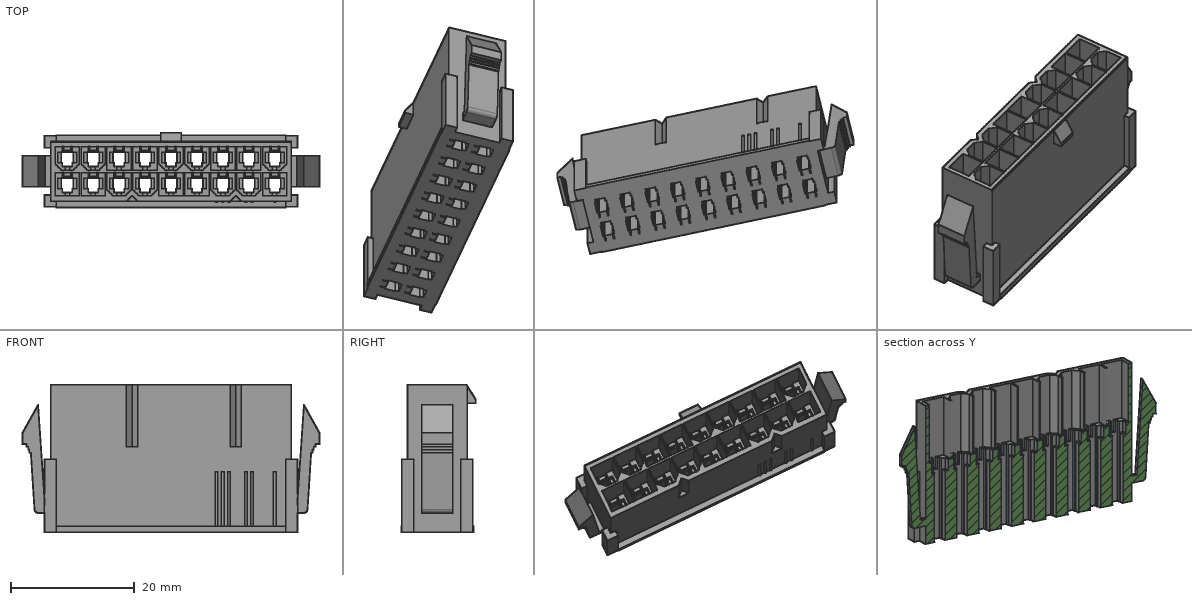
import cadquery as cq

body_length = 38.95
body_width = 9.7
body_height = 23.9
back_edge_chamfer = 0.15

post_offset_x = 1.0
post_offset_y = 0.9
post_leg_x = 1.9
post_leg_y = 1.95
post_height = 11.9
ledge_height = 1.0
ledge_overhang = 0.1
outer_length = body_length + 2 * post_offset_x
outer_width = body_width + 2 * post_offset_y

columns = 9
row_span = 33.55
pitch = row_span / (columns - 1)
cell_length = 3.95
cell_width = 3.8
cell_corner_cut = 1.0
cell_depth = 10.0
cell_floor = body_height - cell_depth
keyed_columns = {1: (0, 1, 4, 5, 8), -1: (2, 3, 6, 7)}

passage_wide = 1.9
passage_narrow = 1.6
passage_back = 1.0
passage_step = -0.7
passage_front = -1.3
side_pocket_span = 3.05
floor_pocket_depth = 1.9
front_notch_length = 0.7
tongue_length = 1.25
tongue_step = 1.3
tongue_drop = 0.95

groove_depth = 0.9
groove_positions = (-1.5, 2.5)

rib_width = 0.45
rib_rise = 0.15
rib_top = 9.8
rib_positions = (7.35, 8.35, 9.4, 12.1, 13.15, 16.8)

tab_length = 3.35
tab_reach = 1.4
tab_slope_drop = 2.4
tab_height = 3.05

latch_width = 5.05
latch_reach = 24.05
latch_tip = (21.5, 20.7)
latch_shoulder = 16.1
latch_steps = ((14.3, 23.42), (13.85, 23.15), (13.4, 22.95), (12.9, 22.7))
latch_foot = 22.1
latch_bottom = 3.15
latch_foot_radius = 0.65
latch_gap_floor = 4.43
latch_root = 20.4


def block(x_range, y_range, z_range):
    """Box spanning the given ranges."""
    (x0, x1), (y0, y1), (z0, z1) = x_range, y_range, z_range
    return cq.Workplane("XY").box(x1 - x0, y1 - y0, z1 - z0, centered=False).translate((x0, y0, z0))


def make_shell():
    """Body with an L-shaped post at each corner and a ledge along each long side."""
    shell = cq.Workplane("XY").box(body_length, body_width, body_height, centered=(True, True, False))
    shell = shell.edges(">Y and >Z").chamfer(back_edge_chamfer)
    post_x = (outer_length / 2 - post_leg_x, outer_length / 2)
    post_y = (outer_width / 2 - post_leg_y, outer_width / 2)
    post = block(post_x, post_y, (0, post_height))
    for mirrored in (post, post.mirror("YZ"), post.mirror("XZ"), post.mirror("YZ").mirror("XZ")):
        shell = shell.union(mirrored)
    ledge_length = outer_length - 2 * post_leg_x
    ledge_width = outer_width + 2 * ledge_overhang
    ledge = cq.Workplane("XY").box(ledge_length, ledge_width, ledge_height, centered=(True, True, False))
    return shell.union(ledge)


def make_cell(keyed):
    """Cutter for one cell, centred on X and Y."""
    cell = (
        cq.Workplane("XY", origin=(0, 0, cell_floor))
        .box(cell_length, cell_width, cell_depth, centered=(True, True, False))
    )
    if keyed:
        cell = cell.edges("|Z and <Y").chamfer(cell_corner_cut)

    through = (0, cell_floor)
    pocket = (cell_floor - floor_pocket_depth, cell_floor)
    wide = passage_wide / 2
    narrow = passage_narrow / 2
    pocket_end = side_pocket_span / 2
    notch = front_notch_length / 2
    tongue = tongue_length / 2
    wall = cell_width / 2
    tongue_top = cell_floor - tongue_drop

    cell = cell.union(block((-wide, wide), (passage_step, passage_back), through))
    cell = cell.union(block((-narrow, narrow), (passage_front, wall), through))
    cell = cell.union(block((-pocket_end, pocket_end), (passage_step, passage_back), pocket))
    cell = cell.union(block((-notch, notch), (-wall, passage_front), pocket))
    cell = cell.cut(block((-tongue, tongue), (tongue_step, wall), (0, tongue_top)))
    return cell.cut(block((-tongue, tongue), (passage_back, tongue_step), (0, tongue_top - tongue_drop)))


def cut_cells(housing):
    plain_cell = make_cell(False)
    keyed_cell = make_cell(True)
    for side, keyed in keyed_columns.items():
        for column in range(columns):
            cell = keyed_cell if column in keyed else plain_cell
            x = column * pitch - row_span / 2
            housing = housing.cut(cell.translate((x, side * pitch / 2, 0)))
    return housing


def cut_grooves(housing):
    """V-grooves with 45 degree flanks, as deep as the cells."""
    front = -body_width / 2
    for position in groove_positions:
        x = position * pitch
        groove = (
            cq.Workplane("XY", origin=(0, 0, cell_floor))
            .moveTo(x - groove_depth, front)
            .lineTo(x, front + groove_depth)
            .lineTo(x + groove_depth, front)
            .close()
            .extrude(cell_depth)
        )
        housing = housing.cut(groove)
    return housing


def add_ribs(housing):
    front = -body_width / 2
    for x in rib_positions:
        rib = (
            cq.Workplane("XY")
            .moveTo(x - rib_width / 2, front)
            .threePointArc((x, front - rib_rise), (x + rib_width / 2, front))
            .close()
            .extrude(rib_top)
        )
        housing = housing.union(rib)
    return housing


def make_tab():
    back = body_width / 2
    return (
        cq.Workplane("YZ", origin=(-tab_length / 2, 0, 0))
        .moveTo(back - back_edge_chamfer, body_height)
        .lineTo(back + tab_reach, body_height - tab_slope_drop)
        .lineTo(back + tab_reach, body_height - tab_height)
        .lineTo(back - back_edge_chamfer, body_height - tab_height)
        .close()
        .extrude(tab_length)
    )


def make_latch():
    """Barbed arm on the +X end, joined to the body only at its foot."""
    profile = cq.Workplane("XZ", origin=(0, latch_width / 2, 0)).moveTo(*latch_tip)
    profile = profile.lineTo(latch_reach, latch_shoulder)
    x = latch_reach
    for step_z, step_x in latch_steps:
        profile = profile.lineTo(x, step_z).lineTo(step_x, step_z)
        x = step_x
    latch = (
        profile.lineTo(latch_foot, latch_bottom)
        .lineTo(body_length / 2, latch_bottom)
        .lineTo(body_length / 2, latch_gap_floor)
        .lineTo(latch_root, latch_gap_floor)
        .close()
        .extrude(latch_width)
    )
    foot_edge = cq.selectors.NearestToPointSelector((latch_foot, 0, latch_bottom))
    return latch.edges("|Y").edges(foot_edge).fillet(latch_foot_radius)


housing = cut_cells(make_shell())
housing = cut_grooves(housing)
housing = add_ribs(housing)
housing = housing.union(make_tab())
latch = make_latch()
result = housing.union(latch).union(latch.mirror("YZ"))